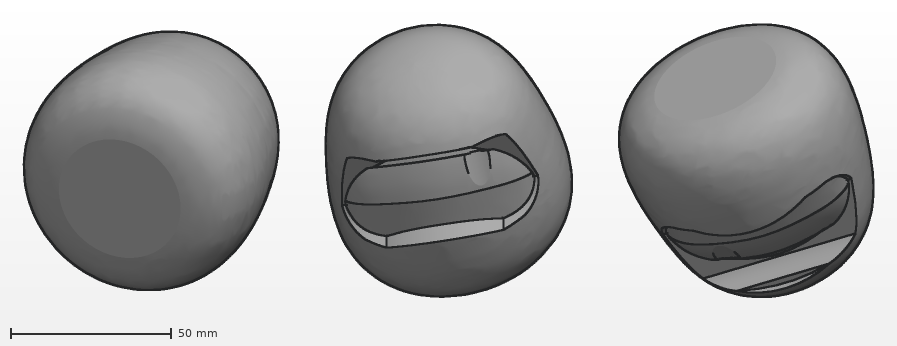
import cadquery as cq
import math

length = 76.2
face_radius = 20.3
max_radius = 37.9
profile_points = [
    (face_radius, 0),
    (26.9, 1.5),
    (31.9, 4.6),
    (36.0, 10.7),
    (max_radius, 23.2),
    (36.35, 38.1),
    (33.5, 51.75),
    (29.3, 62.5),
    (22.55, 70.1),
    (14.0, 74.3),
    (6.85, 75.75),
    (0, length),
]
reach = 45.7

ceiling_z = -18.45
mouth_front_y = 30.6
front_corner_z = -27.4
front_corner_middle = (33.4, -22.0)
front_corner_y = 38.1
mouth_rear_y = 61.7
rear_corner_z = -25.4
rear_corner_middle = (59.7, ceiling_z - 1.5)
rear_corner_y = 58.3

bulge_y = 34.3
bulge_half_width = 18.7
hollow_y = 64
hollow_half_width = 15.25

joint_y = 43.4
joint_z = -27.4
joint_tilt = 22
front_core_slope = 13.5
core_half_section = [
    (0, 0),
    (15.25, 2.1),
    (25.15, 5.7),
    (31.25, 11.4),
]
core_half_width, core_rise = core_half_section[-1]
core_top = 2 * core_rise
rear_arc_radius = 55.6
rear_sweep = 13.2
ledge_sweep = 19
ledge_step = 0.5

scoop_radius = 12.2
scoop_x = -17.5
scoop_tilt = 33
scoop_front_z = -25.0
scoop_length = 11.65


def housing_blank():
    return (
        cq.Workplane("XY")
        .lineTo(face_radius, 0)
        .spline(profile_points[1:], includeCurrent=True)
        .close()
        .revolve(360, (0, 0), (0, 1))
    )


def wall_segment(half_width, chord_y, crown_y, top_z):
    """Upright prism whose plan is the segment between a chord along X and its arc."""
    return (
        cq.Workplane("XY", origin=(0, 0, -reach))
        .moveTo(-half_width, chord_y)
        .threePointArc((0, crown_y), (half_width, chord_y))
        .close()
        .extrude(reach + top_z)
    )


def mouth():
    opening = (
        cq.Workplane("YZ", origin=(-reach, 0, 0))
        .moveTo(mouth_front_y, -reach)
        .lineTo(mouth_front_y, front_corner_z)
        .threePointArc(front_corner_middle, (front_corner_y, ceiling_z))
        .lineTo(rear_corner_y, ceiling_z)
        .threePointArc(rear_corner_middle, (mouth_rear_y, rear_corner_z))
        .lineTo(mouth_rear_y, -reach)
        .close()
        .extrude(2 * reach)
    )
    rear_hollow = wall_segment(hollow_half_width, mouth_rear_y, hollow_y, rear_corner_z)
    front_bulge = wall_segment(bulge_half_width, mouth_front_y, bulge_y, 0)
    return opening.union(rear_hollow).cut(front_bulge)


def tilted_plane(tilt):
    """Plane through the lowest point of the joint, leaning toward the front by tilt degrees."""
    angle = math.radians(tilt)
    return cq.Plane(
        origin=(0, joint_y, joint_z),
        xDir=(1, 0, 0),
        normal=(0, -math.cos(angle), -math.sin(angle)),
    )


def core_section(tilt, raised=0):
    """Cross-section shared by both cores, optionally raised toward the ceiling."""
    left = [(-x, height + raised) for x, height in reversed(core_half_section)]
    right = [(x, height + raised) for x, height in core_half_section[1:]]
    return (
        cq.Workplane(tilted_plane(tilt))
        .spline(left + right)
        .lineTo(core_half_width, core_top)
        .lineTo(-core_half_width, core_top)
        .close()
    )


def ahead_of_joint():
    """Block that fills the space in front of the joint plane."""
    return cq.Workplane(tilted_plane(joint_tilt)).rect(4 * reach, 4 * reach).extrude(2 * reach)


def make_front_core(room):
    """Straight pad whose underside drops toward the front wall."""
    bar = core_section(front_core_slope).extrude(reach / 2, both=True)
    return bar.intersect(ahead_of_joint()).intersect(room)


def swept_pad(sweep, raised=0):
    """Core section swung rearward and up about an axis along X."""
    axis_start = (-0.8, rear_arc_radius)
    axis_end = (0.8, rear_arc_radius)
    return core_section(joint_tilt, raised).revolve(sweep, axis_start, axis_end)


def scoop_tool():
    """Cylinder along the groove, climbing rearward more steeply than the underside."""
    angle = math.radians(scoop_tilt)
    plane = cq.Plane(
        origin=(scoop_x, joint_y, scoop_front_z),
        xDir=(1, 0, 0),
        normal=(0, math.cos(angle), math.sin(angle)),
    )
    return cq.Workplane(plane).center(0, scoop_radius).circle(scoop_radius).extrude(scoop_length)


def make_rear_core(room):
    """Curved pad with a raised ledge at its rear end and a scoop in one side."""
    pad = swept_pad(rear_sweep)
    ledge = swept_pad(ledge_sweep, ledge_step)
    return pad.union(ledge).intersect(room).cut(scoop_tool())


blank = housing_blank()
mouth_tool = mouth()
mouth_room = blank.intersect(mouth_tool)

housing = blank.cut(mouth_tool)
front_core = make_front_core(mouth_room)
rear_core = make_rear_core(mouth_room)

result = cq.Compound.makeCompound([*housing.vals(), *front_core.vals(), *rear_core.vals()])